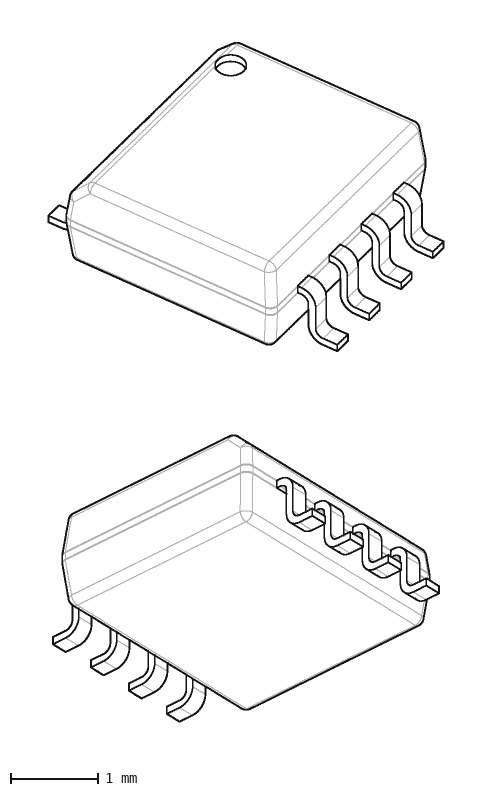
import cadquery as cq
import math

overall_width = 4.0
overall_height = 1.3

body_width = 2.9
body_length = 3.2
standoff = 0.05
band_height = 0.1
draft_angle = 6.0
edge_radius = 0.1
bevel_top_x = -1.15

mark_diameter = 0.36
mark_depth = 0.1
mark_x = -0.97
mark_y = 1.115

leads_per_side = 4
lead_row_span = 1.95
lead_pitch = lead_row_span / (leads_per_side - 1)
lead_width = 0.22
lead_thickness = band_height
bend_inner_radius = 0.1
foot_length = 0.2

body_middle_z = (standoff + overall_height) / 2
band_top_z = body_middle_z + band_height / 2
band_bottom_z = body_middle_z - band_height / 2


def tapered_block(start_z, height):
    """Rectangular block that starts at the band outline and narrows over a signed height."""
    inset = abs(height) * math.tan(math.radians(draft_angle))
    return (
        cq.Workplane("XY", origin=(0, 0, start_z))
        .rect(body_width, body_length)
        .workplane(offset=height)
        .rect(body_width - 2 * inset, body_length - 2 * inset)
        .loft(ruled=True)
    )


def bevel_cutter():
    """Wedge that takes the 45 degree bevel off the top edge on the pin 1 side."""
    leg = body_width / 2 + bevel_top_x
    return (
        cq.Workplane("XZ")
        .polyline([
            (bevel_top_x, overall_height),
            (bevel_top_x - leg, overall_height),
            (bevel_top_x - leg, overall_height - leg),
        ])
        .close()
        .extrude(body_length, both=True)
    )


def make_housing():
    """Belted block tapering up and down, bevelled, rounded on every edge, with the pin 1 mark."""
    band = (
        cq.Workplane("XY", origin=(0, 0, band_bottom_z))
        .rect(body_width, body_length)
        .extrude(band_height)
    )
    upper = tapered_block(band_top_z, overall_height - band_top_z)
    lower = tapered_block(band_bottom_z, standoff - band_bottom_z)
    block = band.union(upper).union(lower).cut(bevel_cutter())
    rounded = block.edges().fillet(edge_radius)
    mark = (
        cq.Workplane("XY", origin=(mark_x, mark_y, overall_height - mark_depth))
        .circle(mark_diameter / 2)
        .extrude(2 * mark_depth)
    )
    return rounded.cut(mark)


def make_lead(y):
    """Gull-wing lead on the -X side, centred at y: foot, bend, riser, bend, shoulder."""
    tip_x = -overall_width / 2
    root_x = -body_width / 2
    outer_radius = bend_inner_radius + lead_thickness
    lower_x = tip_x + foot_length
    lower_z = outer_radius
    riser_inner_x = lower_x + outer_radius
    riser_outer_x = riser_inner_x - lead_thickness
    upper_x = riser_outer_x + outer_radius
    upper_z = band_top_z - outer_radius
    diagonal = math.sqrt(0.5)
    inner_offset = bend_inner_radius * diagonal
    outer_offset = outer_radius * diagonal
    return (
        cq.Workplane("XZ", origin=(0, y + lead_width / 2, 0))
        .moveTo(tip_x, 0)
        .lineTo(lower_x, 0)
        .threePointArc((lower_x + outer_offset, lower_z - outer_offset), (riser_inner_x, lower_z))
        .lineTo(riser_inner_x, upper_z)
        .threePointArc((upper_x - inner_offset, upper_z + inner_offset), (upper_x, band_bottom_z))
        .lineTo(root_x, band_bottom_z)
        .lineTo(root_x, band_top_z)
        .lineTo(upper_x, band_top_z)
        .threePointArc((upper_x - outer_offset, upper_z + outer_offset), (riser_outer_x, upper_z))
        .lineTo(riser_outer_x, lower_z)
        .threePointArc((lower_x + inner_offset, lower_z - inner_offset), (lower_x, lead_thickness))
        .lineTo(tip_x, lead_thickness)
        .close()
        .extrude(lead_width)
    )


housing = make_housing()

leads = []
for index in range(leads_per_side):
    left_lead = make_lead(index * lead_pitch - lead_row_span / 2)
    leads.append(left_lead.val())
    leads.append(left_lead.mirror("YZ").val())

result = cq.Compound.makeCompound([housing.val(), *leads])